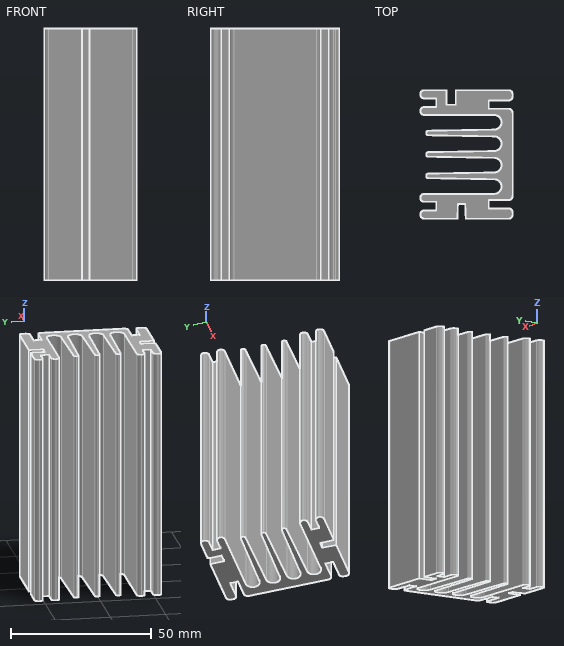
import cadquery as cq

WIDTH = 33.0
DEPTH = 46.0
LENGTH = 90.0
LEFT = -WIDTH / 2
RIGHT = WIDTH / 2
BACK = DEPTH / 2

FULL_ROUND_MARGIN = 0.02

OPEN_SLOT_DEPTH = 5.7
OPEN_SLOT_NEAR = 3.1
OPEN_SLOT_FAR = 6.0
BASE_SLOT_DEPTH = 8.55
BASE_SLOT_NEAR = 3.8
BASE_SLOT_FAR = 6.7
BASE_CORNER_RADIUS = 1.5

KEYWAY_DEPTH = 5.2
BACK_KEYWAY_START = 9.45
BACK_KEYWAY_WIDTH = 3.15
BACK_KEYWAY_TAPER = 0
FRONT_KEYWAY_START = 13.3
FRONT_KEYWAY_WIDTH = 2.9
FRONT_KEYWAY_TAPER = 0.2

FIN_COUNT = 3
FIN_PITCH = 7.65
FIN_TIP_INSET = 2.1
FIN_TIP_THICKNESS = 1.7
FIN_ROOT_THICKNESS = 2.5
FIN_TIP_RADIUS = FIN_TIP_THICKNESS / 2 - FULL_ROUND_MARGIN
GAP_BOTTOM_INSET = 29.0
GAP_BOTTOM_RADIUS = (FIN_PITCH - FIN_ROOT_THICKNESS) / 2

CAVITY_HALF = ((FIN_COUNT + 1) * FIN_PITCH - FIN_ROOT_THICKNESS) / 2
RAIL_THICKNESS = BACK - CAVITY_HALF
FIN_TIP_X = LEFT + FIN_TIP_INSET
GAP_BOTTOM_X = LEFT + GAP_BOTTOM_INSET
FIN_ROOT_X = GAP_BOTTOM_X - GAP_BOTTOM_RADIUS


def prism(x0, x1, y0, y1):
    """Full-length rectangular bar between the given X and Y limits."""
    return (
        cq.Workplane("XY")
        .center((x0 + x1) / 2, (y0 + y1) / 2)
        .rect(abs(x1 - x0), abs(y1 - y0))
        .extrude(LENGTH)
    )


def round_edges(body, x, y_values, radius):
    """Round the lengthwise edges at one X position and several Y positions."""
    reach = radius / 2
    for y in y_values:
        corner = cq.selectors.BoxSelector(
            (x - reach, y - reach, 0), (x + reach, y + reach, LENGTH)
        )
        body = body.edges("|Z").edges(corner).fillet(radius)
    return body


def fin_gap(lower_tip, lower_root, upper_root, upper_tip):
    """Air gap whose sides follow the fin taper, ending in a round bottom."""
    return (
        cq.Workplane("XY")
        .moveTo(FIN_TIP_X, lower_tip)
        .lineTo(FIN_ROOT_X, lower_root)
        .threePointArc(
            (GAP_BOTTOM_X, (lower_root + upper_root) / 2),
            (FIN_ROOT_X, upper_root),
        )
        .lineTo(FIN_TIP_X, upper_tip)
        .close()
        .extrude(LENGTH)
    )


def cut_fin_gaps(body, fin_centers):
    """Open the cavity mouth and the gaps on both sides of every fin."""
    body = body.cut(prism(LEFT, FIN_TIP_X, -CAVITY_HALF, CAVITY_HALF))
    lower_tip = lower_root = -CAVITY_HALF
    for center in fin_centers:
        upper_tip = center - FIN_TIP_THICKNESS / 2
        upper_root = center - FIN_ROOT_THICKNESS / 2
        body = body.cut(fin_gap(lower_tip, lower_root, upper_root, upper_tip))
        lower_tip = center + FIN_TIP_THICKNESS / 2
        lower_root = center + FIN_ROOT_THICKNESS / 2
    return body.cut(fin_gap(lower_tip, lower_root, CAVITY_HALF, CAVITY_HALF))


def shape_rail(body, side, keyway_start, keyway_width, keyway_taper):
    """Slot, key and round the rail on the +Y (side=1) or -Y (side=-1) face."""
    def inward(distance):
        return side * (BACK - distance)

    open_slot = prism(LEFT, LEFT + OPEN_SLOT_DEPTH, inward(OPEN_SLOT_NEAR), inward(OPEN_SLOT_FAR))
    base_slot = prism(RIGHT - BASE_SLOT_DEPTH, RIGHT, inward(BASE_SLOT_NEAR), inward(BASE_SLOT_FAR))
    keyway_x0 = LEFT + keyway_start
    keyway_x1 = keyway_x0 + keyway_width
    keyway_outline = [
        (keyway_x0, inward(0)),
        (keyway_x1, inward(0)),
        (keyway_x1 - keyway_taper, inward(KEYWAY_DEPTH)),
        (keyway_x0 + keyway_taper, inward(KEYWAY_DEPTH)),
    ]
    keyway = cq.Workplane("XY").polyline(keyway_outline).close().extrude(LENGTH)
    body = body.cut(open_slot).cut(base_slot).cut(keyway)

    for near, far in ((0, OPEN_SLOT_NEAR), (OPEN_SLOT_FAR, RAIL_THICKNESS)):
        tip_radius = (far - near) / 2 - FULL_ROUND_MARGIN
        body = round_edges(body, LEFT, (inward(near), inward(far)), tip_radius)
    base_corners = [inward(d) for d in (0, BASE_SLOT_NEAR, BASE_SLOT_FAR)]
    return round_edges(body, RIGHT, base_corners, BASE_CORNER_RADIUS)


fin_centers = [(i - (FIN_COUNT - 1) / 2) * FIN_PITCH for i in range(FIN_COUNT)]

heat_sink = prism(LEFT, RIGHT, -BACK, BACK)
heat_sink = cut_fin_gaps(heat_sink, fin_centers)
heat_sink = shape_rail(heat_sink, 1, BACK_KEYWAY_START, BACK_KEYWAY_WIDTH, BACK_KEYWAY_TAPER)
heat_sink = shape_rail(heat_sink, -1, FRONT_KEYWAY_START, FRONT_KEYWAY_WIDTH, FRONT_KEYWAY_TAPER)
for fin_center in fin_centers:
    tip_corners = [fin_center + s * FIN_TIP_THICKNESS / 2 for s in (-1, 1)]
    heat_sink = round_edges(heat_sink, FIN_TIP_X, tip_corners, FIN_TIP_RADIUS)

result = heat_sink